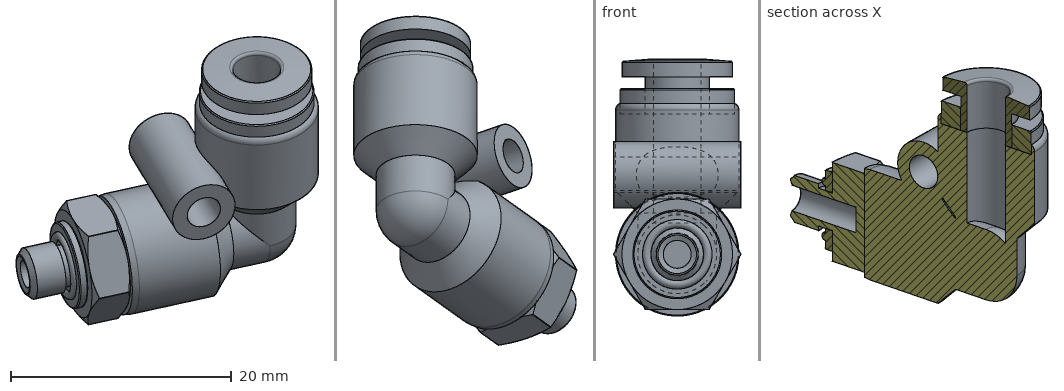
import cadquery as cq
import math


HOUSING_RADIUS = 5.6
NECK_RADIUS = 3.57
INLET_CONE_START = 3.75
OUTLET_CONE_START = 3.5
CONE_LENGTH = HOUSING_RADIUS - NECK_RADIUS
INLET_END = 13.7
OUTLET_END = 14.0
INLET_ROUND = 0.65
OUTLET_TAPER_LENGTH = 0.65
OUTLET_TAPER_DEPTH = 0.08

TUBE_LENGTH = 11.52
TUBE_RADIUS = 3.0
TUBE_BORE_RADIUS = 1.6
TUBE_OFFSET = 7.2

COLLAR_RADIUS = 5.2
COLLAR_TOP = 15.0
COLLAR_SEAT_DEPTH = 1.0
COLLAR_BOTTOM = INLET_END - COLLAR_SEAT_DEPTH
COLLAR_CHAMFER = 0.1

BUTTON_RADIUS = 5.0
BUTTON_TOP = 17.67
BUTTON_UNDERSIDE = 16.07
BUTTON_RIM_TOP = 17.48
BUTTON_RIM_CHAMFER = 0.1
BUTTON_STEM_RADIUS = 2.92
BUTTON_BORE_RADIUS = 2.15
BUTTON_BORE_ROUND = 0.28

HEX_SIDES = 6
HEX_FLATS = 10.0
HEX_CORNER_RADIUS = 5.75
HEX_CHAMFER_ANGLE = 30
HEX_END = 17.7
OVERALL_LENGTH = 28.1
STUD_END = OVERALL_LENGTH - HOUSING_RADIUS
THREAD_START = 19.25
THREAD_RADIUS = 2.4
THREAD_CHAMFER = 0.5
UNDERCUT_RADIUS = 1.95
STUD_BORE_RADIUS = 1.26
STUD_COUNTERSINK_RADIUS = 1.75
STUD_COUNTERSINK_DEPTH = 0.2
STUD_BACK_WALL = 1.0

GASKET_RADIUS = 4.02
GASKET_THICKNESS = 0.81
GASKET_CHAMFER = 0.1
BEAD_RADIUS = 0.4
BEAD_CENTRE_RADIUS = 2.75


def revolve_about_z(points):
    return cq.Workplane("XZ").polyline(points).close().revolve(360, (0, 0, 0), (0, 1, 0))


def toward_outlet(body):
    """Turn a body built along +Z so that it points along -Y."""
    return body.rotate((0, 0, 0), (1, 0, 0), 90)


def cylinder(radius, start, end):
    return cq.Workplane("XY").workplane(offset=start).circle(radius).extrude(end - start)


def housing_arm(cone_start, end):
    """Neck, cone and wide barrel, running along +Z from the elbow centre."""
    return revolve_about_z([
        (0, 0),
        (NECK_RADIUS, 0),
        (NECK_RADIUS, cone_start),
        (HOUSING_RADIUS, cone_start + CONE_LENGTH),
        (HOUSING_RADIUS, end),
        (0, end),
    ])


def cross_tube(radius):
    return (
        cq.Workplane("YZ", origin=(-TUBE_LENGTH / 2, -TUBE_OFFSET, TUBE_OFFSET))
        .circle(radius)
        .extrude(TUBE_LENGTH)
    )


def make_housing():
    """Elbow with a bored inlet arm; the bore stops on the round top of the solid elbow core."""
    inlet = housing_arm(INLET_CONE_START, INLET_END).faces(">Z").edges().fillet(INLET_ROUND)
    inlet = inlet.cut(cylinder(BUTTON_BORE_RADIUS, 0, INLET_END))
    inlet = inlet.cut(cylinder(COLLAR_RADIUS, COLLAR_BOTTOM, INLET_END))
    outlet = housing_arm(OUTLET_CONE_START, OUTLET_END)
    outlet = outlet.faces(">Z").edges().chamfer(OUTLET_TAPER_LENGTH, OUTLET_TAPER_DEPTH)
    core = cq.Workplane("XY").sphere(NECK_RADIUS)
    body = core.union(inlet).union(toward_outlet(outlet)).union(cross_tube(TUBE_RADIUS))
    return body.cut(cross_tube(TUBE_BORE_RADIUS))


def make_collar():
    disc = cylinder(COLLAR_RADIUS, COLLAR_BOTTOM, COLLAR_TOP)
    disc = disc.faces(">Z").edges().chamfer(COLLAR_CHAMFER)
    return disc.cut(cylinder(BUTTON_STEM_RADIUS, COLLAR_BOTTOM, COLLAR_TOP))


def make_button():
    """Flanged sleeve with a slightly conical top; its stem fills the collar."""
    mouth_radius = BUTTON_BORE_RADIUS + BUTTON_BORE_ROUND
    mouth_start = BUTTON_TOP - BUTTON_BORE_ROUND
    round_middle = BUTTON_BORE_ROUND * math.sqrt(0.5)
    return (
        cq.Workplane("XZ")
        .moveTo(BUTTON_BORE_RADIUS, COLLAR_BOTTOM)
        .lineTo(BUTTON_STEM_RADIUS, COLLAR_BOTTOM)
        .lineTo(BUTTON_STEM_RADIUS, BUTTON_UNDERSIDE)
        .lineTo(BUTTON_RADIUS, BUTTON_UNDERSIDE)
        .lineTo(BUTTON_RADIUS, BUTTON_RIM_TOP - BUTTON_RIM_CHAMFER)
        .lineTo(BUTTON_RADIUS - BUTTON_RIM_CHAMFER, BUTTON_RIM_TOP)
        .lineTo(mouth_radius, BUTTON_TOP)
        .threePointArc(
            (mouth_radius - round_middle, mouth_start + round_middle),
            (BUTTON_BORE_RADIUS, mouth_start),
        )
        .close()
        .revolve(360, (0, 0, 0), (0, 1, 0))
    )


def make_hexagon():
    """Hexagon with corners turned to a round bar and both ends chamfered."""
    chamfer_radius = HEX_FLATS / 2
    chamfer_height = (HEX_CORNER_RADIUS - chamfer_radius) * math.tan(math.radians(HEX_CHAMFER_ANGLE))
    turned_bar = revolve_about_z([
        (0, OUTLET_END),
        (chamfer_radius, OUTLET_END),
        (HEX_CORNER_RADIUS, OUTLET_END + chamfer_height),
        (HEX_CORNER_RADIUS, HEX_END - chamfer_height),
        (chamfer_radius, HEX_END),
        (0, HEX_END),
    ])
    corner_diameter = HEX_FLATS / math.cos(math.pi / HEX_SIDES)
    prism = (
        cq.Workplane("XY")
        .workplane(offset=OUTLET_END)
        .polygon(HEX_SIDES, corner_diameter)
        .extrude(HEX_END - OUTLET_END)
    )
    return prism.intersect(turned_bar)


def make_stud():
    spigot = revolve_about_z([
        (0, HEX_END),
        (UNDERCUT_RADIUS, HEX_END),
        (UNDERCUT_RADIUS, THREAD_START),
        (THREAD_RADIUS, THREAD_START),
        (THREAD_RADIUS, STUD_END - THREAD_CHAMFER),
        (THREAD_RADIUS - THREAD_CHAMFER, STUD_END),
        (0, STUD_END),
    ])
    bore_bottom = OUTLET_END + STUD_BACK_WALL
    bore = revolve_about_z([
        (0, bore_bottom),
        (STUD_BORE_RADIUS, bore_bottom),
        (STUD_BORE_RADIUS, STUD_END - STUD_COUNTERSINK_DEPTH),
        (STUD_COUNTERSINK_RADIUS, STUD_END),
        (0, STUD_END),
    ])
    return toward_outlet(make_hexagon().union(spigot).cut(bore))


def make_gasket():
    face = HEX_END + GASKET_THICKNESS
    washer = cylinder(GASKET_RADIUS, HEX_END, face).edges().chamfer(GASKET_CHAMFER)
    washer = washer.cut(cylinder(UNDERCUT_RADIUS, HEX_END, face))
    bead = (
        cq.Workplane("XZ")
        .center(BEAD_CENTRE_RADIUS, face)
        .circle(BEAD_RADIUS)
        .revolve(360, (-BEAD_CENTRE_RADIUS, 0, 0), (-BEAD_CENTRE_RADIUS, 1, 0))
    )
    return toward_outlet(washer.union(bead))


housing = make_housing()
collar = make_collar()
button = make_button()
stud = make_stud()
gasket = make_gasket()

result = cq.Compound.makeCompound([
    housing.val(),
    collar.val(),
    button.val(),
    stud.val(),
    gasket.val(),
])